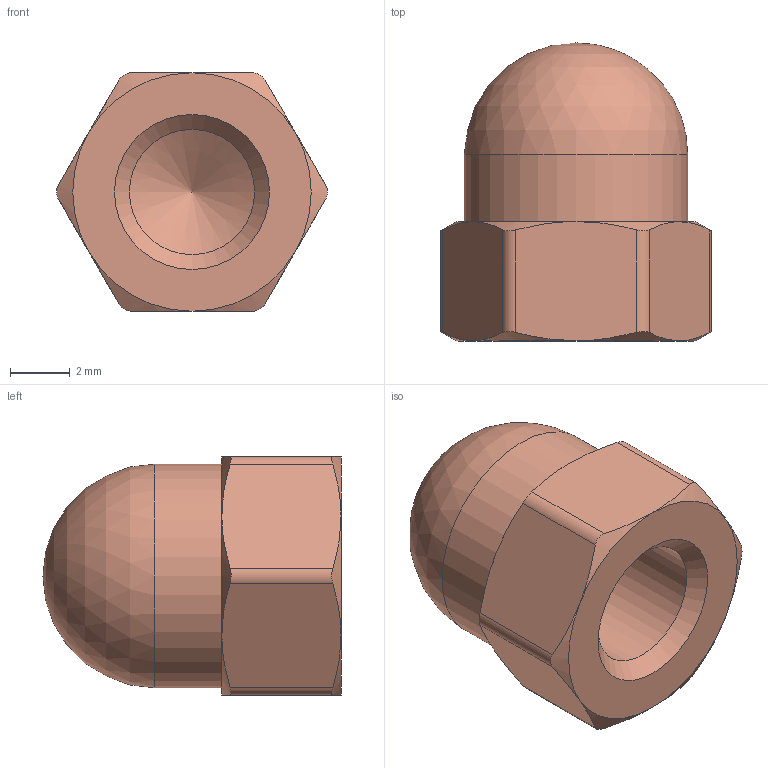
import cadquery as cq
import math

across_flats = 8.0
hex_length = 4.0
corner_radius = 0.5
chamfer_angle = 30.0

dome_diameter = 7.5
total_length = 10.0

bore_diameter = 4.2
bore_depth = 7.5
drill_tip_angle = 118.0
countersink_diameter = 5.2
countersink_angle = 90.0

across_corners = across_flats / math.cos(math.radians(30))
dome_radius = dome_diameter / 2
dome_start = total_length - dome_radius
bore_radius = bore_diameter / 2
countersink_radius = countersink_diameter / 2


def revolve_about_y(profile):
    """Revolve a closed XY profile a full turn about the Y axis."""
    return profile.close().revolve(360, (0, 0, 0), (0, 1, 0))


def hex_body():
    """Hexagon with flats on top and bottom, rounded corners and both ends chamfered."""
    prism = cq.Workplane("XZ").polygon(6, across_corners).extrude(-hex_length)
    prism = prism.edges("|Y").fillet(corner_radius)

    flat_radius = across_flats / 2
    outer_radius = across_corners / 2
    chamfer_depth = (outer_radius - flat_radius) * math.tan(math.radians(chamfer_angle))
    envelope = revolve_about_y(
        cq.Workplane("XY")
        .lineTo(flat_radius, 0)
        .lineTo(outer_radius, chamfer_depth)
        .lineTo(outer_radius, hex_length - chamfer_depth)
        .lineTo(flat_radius, hex_length)
        .lineTo(0, hex_length)
    )
    return prism.intersect(envelope)


def domed_cap():
    """Cylinder closed by a hemisphere, running through the hexagon from Y = 0."""
    mid_arc = dome_radius * math.sqrt(0.5)
    return revolve_about_y(
        cq.Workplane("XY")
        .lineTo(dome_radius, 0)
        .lineTo(dome_radius, dome_start)
        .threePointArc((mid_arc, dome_start + mid_arc), (0, total_length))
    )


def blind_bore():
    """Countersunk blind hole with a conical drill tip."""
    countersink_depth = (countersink_radius - bore_radius) / math.tan(math.radians(countersink_angle / 2))
    tip_height = bore_radius / math.tan(math.radians(drill_tip_angle / 2))
    return revolve_about_y(
        cq.Workplane("XY")
        .lineTo(countersink_radius, 0)
        .lineTo(bore_radius, countersink_depth)
        .lineTo(bore_radius, bore_depth)
        .lineTo(0, bore_depth + tip_height)
    )


result = hex_body().union(domed_cap()).cut(blind_bore())